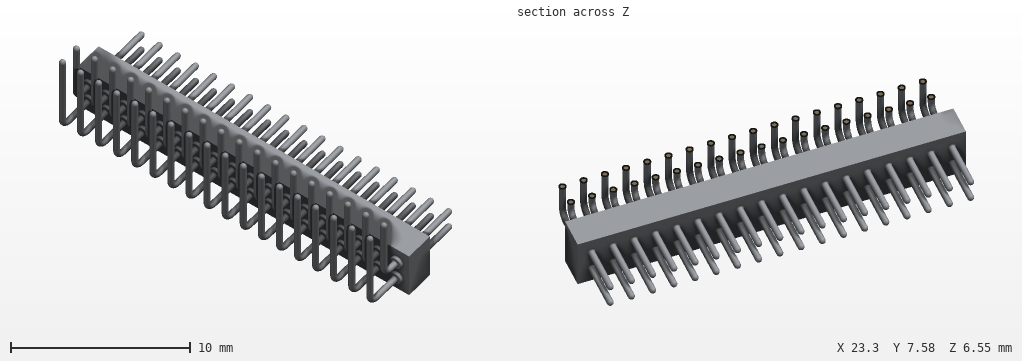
import cadquery as cq
import math

body_length = 23.27
body_depth = 1.88
body_height = 3.23

columns = 18
end_margin = 0.84
pitch = (body_length - 2 * end_margin) / (columns - 1)
lower_row_z = (body_height - pitch) / 2
upper_row_z = lower_row_z + pitch

pin_radius = 0.198
rear_length = 3.0
front_reach = 2.7
pin_top_z = 6.55
bend_radius = 0.63
root_fillet = 0.07

collar_diameter = 0.81
collar_length = 0.2
collar_rim_fillet = 0.05

outer_leg_y = -(front_reach - pin_radius)
inner_leg_y = outer_leg_y + pitch

rear_tip_y = body_depth + rear_length - pin_radius
top_tip_z = pin_top_z - pin_radius


def make_bent_rod(row_z, leg_y):
    """Right-angle pin at X = 0 with hemispherical ends and its upright leg at leg_y."""
    bend_start_y = leg_y + bend_radius
    bend_end_z = row_z + bend_radius
    bend_offset = bend_radius * math.sqrt(0.5)
    bend_middle = (bend_start_y - bend_offset, bend_end_z - bend_offset)
    path = (
        cq.Workplane("YZ")
        .moveTo(rear_tip_y, row_z)
        .lineTo(bend_start_y, row_z)
        .threePointArc(bend_middle, (leg_y, bend_end_z))
        .lineTo(leg_y, top_tip_z)
    )
    rod = cq.Workplane("XZ", origin=(0, rear_tip_y, row_z)).circle(pin_radius).sweep(path)
    tip = cq.Workplane("XY").sphere(pin_radius)
    rear_tip = tip.rotate((0, 0, 0), (1, 0, 0), -90).translate((0, rear_tip_y, row_z))
    top_tip = tip.translate((0, leg_y, top_tip_z))
    return rod.union(rear_tip).union(top_tip)


def make_root(face_y, direction, row_z):
    """Concave fillet ring around a pin, tapering along Y from face_y towards direction (+1 or -1)."""
    end_y = direction * root_fillet
    arc_offset = root_fillet * (1 - math.sqrt(0.5))
    return (
        cq.Workplane("XY", origin=(0, face_y, row_z))
        .lineTo(pin_radius + root_fillet, 0)
        .threePointArc((pin_radius + arc_offset, direction * arc_offset), (pin_radius, end_y))
        .lineTo(0, end_y)
        .close()
        .revolve(360, (0, 0), (0, 1))
    )


def make_pin(row_z, leg_y):
    """Complete pin at X = 0 with its collar and root fillets."""
    collar = cq.Workplane("XZ", origin=(0, 0, row_z)).circle(collar_diameter / 2).extrude(collar_length)
    collar = collar.faces("<Y").edges().fillet(collar_rim_fillet)
    return (
        make_bent_rod(row_z, leg_y)
        .union(collar)
        .union(make_root(-collar_length, -1, row_z))
        .union(make_root(body_depth, 1, row_z))
    )


body = cq.Workplane("XY").box(body_length, body_depth, body_height, centered=(True, False, False))

first_pin_x = end_margin - body_length / 2
pin_pair = (make_pin(lower_row_z, outer_leg_y).val(), make_pin(upper_row_z, inner_leg_y).val())
pins = []
for column in range(columns):
    shift = cq.Vector(first_pin_x + column * pitch, 0, 0)
    pins += [pin.translate(shift) for pin in pin_pair]

result = cq.Workplane("XY").newObject(body.val().fuse(*pins).Solids())